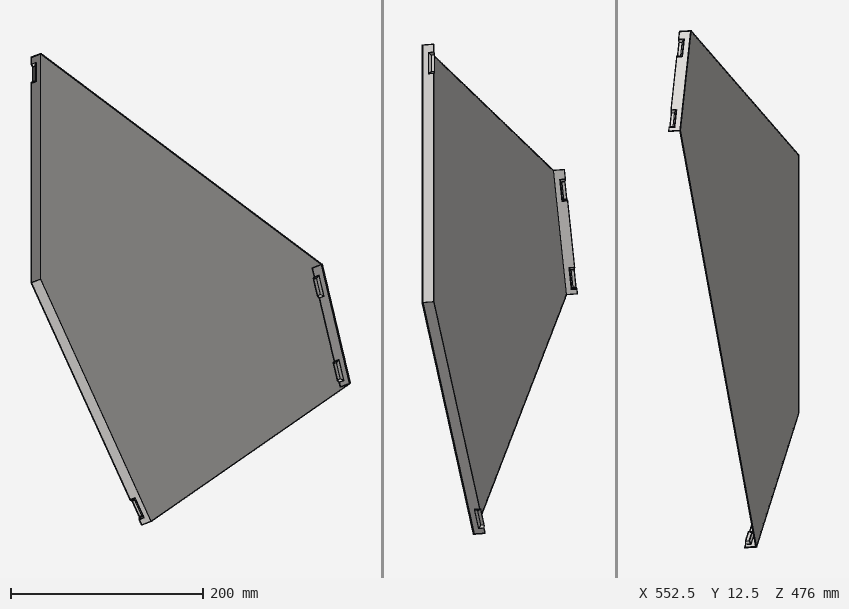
import cadquery as cq
import math

width = 552.5
depth = 12.5
height = 476.0
sheet = 1.0

bottom_x = 197.0
right_slant = math.radians(22.5)
tip_z = width - bottom_x
top_right_x = width - (height - tip_z) * math.tan(right_slant)

left_low = (0, bottom_x)
bottom = (bottom_x, 0)
right_tip = (width, tip_z)
top_right = (top_right_x, height)
panel_top = height - sheet * math.sin(right_slant)
top_left = (0, panel_top)
panel_top_right = (top_right_x + (height - panel_top) * math.tan(right_slant), panel_top)

dimple_length = 24.5
dimple_slope = 2.0
dimple_reach = 6.5
dimple_offset = 3.0
left_dimple = 20.0
lower_dimple = 17.5
right_top_dimple = 21.5
right_tip_dimple = 16.5


def extrude_outline(points, y_front, y_back):
    """Extrude an XZ outline between two Y positions."""
    plane = cq.Workplane("XZ", origin=(0, y_back, 0))
    return plane.polyline(points).close().extrude(y_back - y_front)


def edge_point(start, end, along, inward):
    """Point measured along an edge and inward, to the left of its direction."""
    length = math.dist(start, end)
    step_x = (end[0] - start[0]) / length
    step_z = (end[1] - start[1]) / length
    return (
        start[0] + along * step_x - inward * step_z,
        start[1] + along * step_z + inward * step_x,
    )


def dimple_body(start, end, center, length, reach, inward):
    """Tapered block from the edge line inward, open at the front face."""
    base = edge_point(start, end, center, 0)
    edge_direction = (end[0] - start[0], 0, end[1] - start[1])
    normal = (start[1] - end[1], 0, end[0] - start[0])
    plane = cq.Plane(origin=(base[0], 0, base[1]), xDir=edge_direction, normal=normal)
    top_half = length / 2 - dimple_slope
    top_reach = reach - dimple_slope
    return (
        cq.Workplane(plane)
        .polyline([(-length / 2, 0), (length / 2, 0), (length / 2, reach), (-length / 2, reach)])
        .close()
        .workplane(offset=inward)
        .polyline([(-top_half, 0), (top_half, 0), (top_half, top_reach), (-top_half, top_reach)])
        .close()
        .loft(ruled=True)
    )


def flange(start, end, dimple_centers):
    """Thin wall along an edge, pressed inward at each dimple."""
    length = math.dist(start, end)
    wall_points = [(0, 0), (length, 0), (length, sheet), (0, sheet)]
    wall = extrude_outline([edge_point(start, end, *p) for p in wall_points], 0, depth)
    for center in dimple_centers:
        skin = dimple_body(start, end, center, dimple_length, dimple_reach, dimple_offset + sheet)
        recess = dimple_body(
            start, end, center, dimple_length - 2 * sheet, dimple_reach - sheet, dimple_offset
        )
        wall = wall.union(skin).cut(recess)
    return wall


panel = extrude_outline([top_left, left_low, bottom, right_tip, panel_top_right], depth - sheet, depth)

left_flange = flange(top_left, left_low, [left_dimple])

lower_length = math.dist(left_low, bottom)
lower_flange = flange(left_low, bottom, [lower_length - lower_dimple])

right_length = math.dist(right_tip, top_right)
right_flange = flange(right_tip, top_right, [right_tip_dimple, right_length - right_top_dimple])

result = panel.union(left_flange).union(lower_flange).union(right_flange)